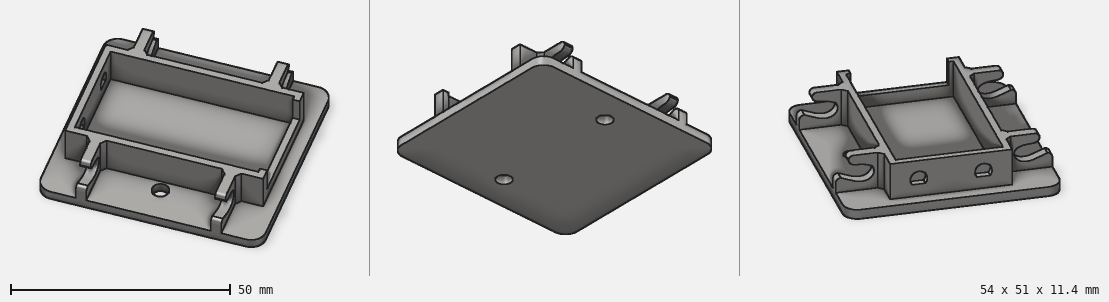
import cadquery as cq

LENGTH = 54.0
WIDTH = 51.0
HEIGHT = 11.4
BASE_THICKNESS = 2.4
CORNER_RADIUS = 3.5

BOX_LENGTH = 47.5
BOX_WIDTH = 28.75
WALL = 1.75
POCKET_FLOOR = BASE_THICKNESS
SILL_HEIGHT = 5.4
NOTCH_WIDTH = 23.1

HOLE_DIAMETER = 4.0
SCREW_OFFSET = 17.0
CABLE_OFFSET = 7.6
CABLE_HEIGHT = 6.65
CABLE_FLAT_HEIGHT = SILL_HEIGHT

RIB_OFFSET = 16.2
RIB_THICKNESS = 2.55
ROOT_CHAMFER_X = 1.1
ROOT_CHAMFER_Y = 1.3
TIP_REACH = 22.5
TIP_RADIUS = 1.2
LIP_RADIUS = 1.2
LIP_HEIGHT = 6.05

OPENING_POINTS = [
    (21.8, 9.25),
    (20.0, 8.9),
    (17.95, 8.55),
    (16.8, 7.85),
    (16.45, 6.85),
    (16.8, 5.8),
    (17.95, 4.8),
    (19.35, 4.55),
    (21.2, 4.85),
    (23.05, 5.55),
]


def make_base():
    plate = cq.Workplane("XY").box(LENGTH, WIDTH, BASE_THICKNESS, centered=(True, True, False))
    return plate.edges("|Z").fillet(CORNER_RADIUS)


def make_box():
    return cq.Workplane("XY").box(BOX_LENGTH, BOX_WIDTH, HEIGHT, centered=(True, True, False))


def make_hook_rib(x):
    """Rib on the +Y side, with a rounded tip above an open throat and a raised lip."""
    root = BOX_WIDTH / 2 - WALL
    tip_end = (TIP_REACH, HEIGHT - TIP_RADIUS)
    lip_peak = (WIDTH / 2 - LIP_RADIUS, LIP_HEIGHT)
    lip_end = (WIDTH / 2, LIP_HEIGHT - LIP_RADIUS)
    opening = OPENING_POINTS + [lip_peak]
    profile = (
        cq.Workplane("YZ")
        .moveTo(root, 0)
        .lineTo(root, HEIGHT)
        .lineTo(TIP_REACH - TIP_RADIUS, HEIGHT)
        .tangentArcPoint(tip_end, relative=False)
        .spline(opening, includeCurrent=True)
        .radiusArc(lip_end, LIP_RADIUS)
        .lineTo(WIDTH / 2, 0)
        .close()
    )
    return profile.extrude(RIB_THICKNESS).translate((x - RIB_THICKNESS / 2, 0, 0))


def make_root(x):
    """Tapered block that chamfers both corners between a rib and the box wall."""
    wall_y = BOX_WIDTH / 2
    half_rib = RIB_THICKNESS / 2
    half_root = half_rib + ROOT_CHAMFER_X
    outline = [
        (x - half_root, wall_y - WALL),
        (x - half_root, wall_y),
        (x - half_rib, wall_y + ROOT_CHAMFER_Y),
        (x + half_rib, wall_y + ROOT_CHAMFER_Y),
        (x + half_root, wall_y),
        (x + half_root, wall_y - WALL),
    ]
    return cq.Workplane("XY").polyline(outline).close().extrude(HEIGHT)


def cut_pocket(body):
    pocket = cq.Workplane("XY").box(
        BOX_LENGTH - 2 * WALL, BOX_WIDTH - 2 * WALL, HEIGHT, centered=(True, True, False)
    )
    return body.cut(pocket.translate((0, 0, POCKET_FLOOR)))


def cut_notch(body):
    """Lower the middle of the +X wall to a sill."""
    notch = cq.Workplane("XY").box(2 * WALL, NOTCH_WIDTH, HEIGHT, centered=(True, True, False))
    return body.cut(notch.translate((BOX_LENGTH / 2, 0, SILL_HEIGHT)))


def cut_holes(body):
    """Two screw holes through the plate and two flat-bottomed cable holes through the -X wall."""
    screw_holes = (
        cq.Workplane("XY")
        .pushPoints([(0, SCREW_OFFSET), (0, -SCREW_OFFSET)])
        .circle(HOLE_DIAMETER / 2)
        .extrude(BASE_THICKNESS)
    )
    cable_holes = (
        cq.Workplane("YZ", origin=(-BOX_LENGTH / 2, 0, 0))
        .pushPoints([(CABLE_OFFSET, CABLE_HEIGHT), (-CABLE_OFFSET, CABLE_HEIGHT)])
        .circle(HOLE_DIAMETER / 2)
        .extrude(WALL)
    )
    below_flat = cq.Workplane("XY").box(
        LENGTH, BOX_WIDTH, CABLE_FLAT_HEIGHT, centered=(True, True, False)
    )
    cable_holes = cable_holes.cut(below_flat)
    return body.cut(screw_holes).cut(cable_holes)


body = make_base().union(make_box())
for rib_x in (-RIB_OFFSET, RIB_OFFSET):
    rib = make_hook_rib(rib_x).union(make_root(rib_x))
    body = body.union(rib).union(rib.mirror("XZ"))

result = cut_holes(cut_notch(cut_pocket(body)))